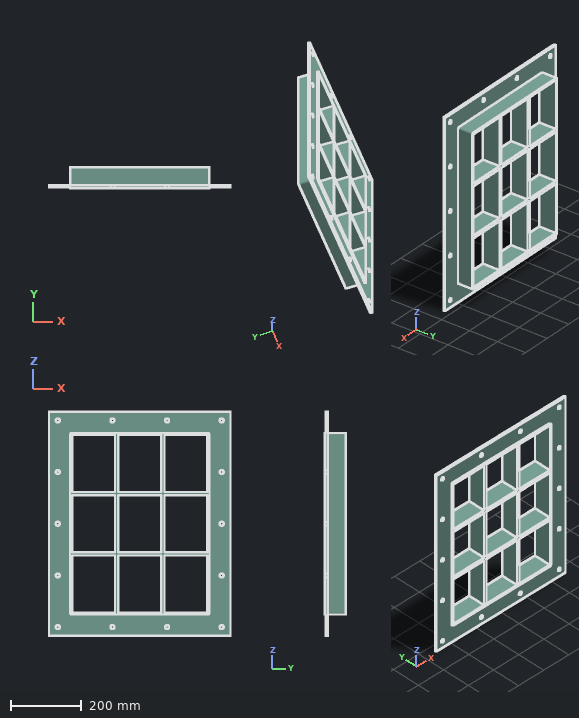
import cadquery as cq

PLATE_WIDTH = 513.5
PLATE_HEIGHT = 634.5
PLATE_THICKNESS = 6.0

FLANGE_WIDTH = 60.0

FRAME_DEPTH = 60.0
FRAME_WALL = 6.0
FRAME_CORNER_RADIUS = 6.0
FRAME_LIP = 3.0

WINDOW_COLUMNS = 3
WINDOW_ROWS = 3
BAR_THICKNESS = 10.0

HOLE_DIAMETER = 10.5
HOLE_INSET = 25.0
HOLE_COLUMNS = 4
HOLE_ROWS = 5

FRAME_WIDTH = PLATE_WIDTH - 2 * FLANGE_WIDTH
FRAME_HEIGHT = PLATE_HEIGHT - 2 * FLANGE_WIDTH


def window_size(frame_size, count):
    """Opening left when bars divide the inside of the frame into equal windows."""
    inside = frame_size - 2 * FRAME_WALL
    return (inside - (count - 1) * BAR_THICKNESS) / count


WINDOW_WIDTH = window_size(FRAME_WIDTH, WINDOW_COLUMNS)
WINDOW_HEIGHT = window_size(FRAME_HEIGHT, WINDOW_ROWS)
WINDOW_PITCH_X = WINDOW_WIDTH + BAR_THICKNESS
WINDOW_PITCH_Z = WINDOW_HEIGHT + BAR_THICKNESS
HOLE_PITCH_X = (PLATE_WIDTH - 2 * HOLE_INSET) / (HOLE_COLUMNS - 1)
HOLE_PITCH_Z = (PLATE_HEIGHT - 2 * HOLE_INSET) / (HOLE_ROWS - 1)


def plane_facing_back(y):
    """XZ workplane at the given Y whose extrusions run toward +Y."""
    return cq.Workplane(cq.Plane(origin=(0, y, 0), xDir=(1, 0, 0), normal=(0, -1, 0)))


def slab(width, height, front_y, thickness):
    """Rectangular slab centred on the Y axis, from front_y back through its thickness."""
    return plane_facing_back(front_y).rect(width, height).extrude(-thickness)


def make_plate():
    """Flat mounting flange around the frame."""
    return slab(PLATE_WIDTH, PLATE_HEIGHT, FRAME_LIP, PLATE_THICKNESS)


def make_frame():
    """Solid block of the grid frame with rounded corners, front face at Y = 0."""
    block = slab(FRAME_WIDTH, FRAME_HEIGHT, 0, FRAME_DEPTH)
    return block.edges("|Y").fillet(FRAME_CORNER_RADIUS)


def make_windows():
    """Grid of rectangular openings running through the full depth of the frame."""
    return (
        plane_facing_back(0)
        .rarray(WINDOW_PITCH_X, WINDOW_PITCH_Z, WINDOW_COLUMNS, WINDOW_ROWS)
        .rect(WINDOW_WIDTH, WINDOW_HEIGHT)
        .extrude(-FRAME_DEPTH)
    )


def perimeter_hole_centres():
    """Centres (x, z) of the grid positions that lie on the plate's border."""
    centres = []
    for column in range(HOLE_COLUMNS):
        for row in range(HOLE_ROWS):
            on_side = column in (0, HOLE_COLUMNS - 1)
            on_end = row in (0, HOLE_ROWS - 1)
            if on_side or on_end:
                x = -PLATE_WIDTH / 2 + HOLE_INSET + column * HOLE_PITCH_X
                z = -PLATE_HEIGHT / 2 + HOLE_INSET + row * HOLE_PITCH_Z
                centres.append((x, z))
    return centres


def make_mounting_holes():
    """Drills for the through holes around the plate."""
    return (
        plane_facing_back(FRAME_LIP)
        .pushPoints(perimeter_hole_centres())
        .circle(HOLE_DIAMETER / 2)
        .extrude(-PLATE_THICKNESS)
    )


result = make_plate().union(make_frame()).cut(make_windows()).cut(make_mounting_holes())